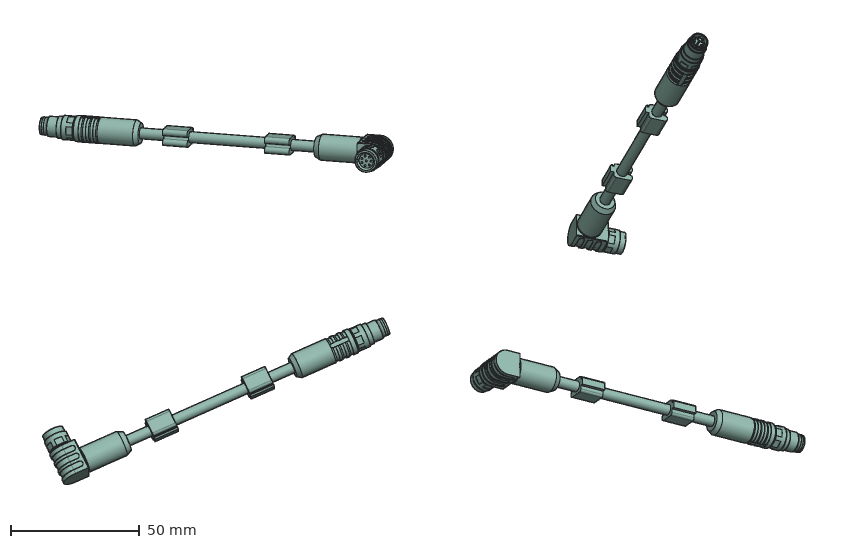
import cadquery as cq
import math


TOTAL_LENGTH = 140.8
OVERALL_WIDTH = 20.8

BODY_DIA = 10.3
BODY_R = BODY_DIA / 2
CONE_END_DIA = 8.0
SLEEVE_DIA = 9.6
SLEEVE_FLAT_COUNT = 6
SLEEVE_FLAT_DEPTH = 0.3
RIM_DIA = 8.7
CONTACT_COUNT = 7
CONTACT_CIRCLE_R = 2.0

CABLE_DIA = 4.4
CLIP_LENGTH = 10.0
CLIP_STARTS = (50.1, 91.4)
CLIP_HEIGHT = 6.6
JAW_R = 1.34
JAW_TIP_Y = -4.4
CLIP_SHOULDER_Y = 3.2
CLIP_SHOULDER_R = 1.0
TAB_ROOT_Y = 3.1
TAB_TIP_Y = 4.6
TAB_BOTTOM_Z = -0.8
TAB_TOP_Z = 2.7
TAB_NOTCH_Y = 3.8
TAB_NOTCH_Z = 2.0
TAB_CHAMFER = 0.7

NOSE_DIA = 6.9
NOSE_COLLAR_DIA = 7.2
NOSE_BARB_COUNT = 3
NOSE_BARB_PITCH = 0.8
NOSE_BORE_DIA = 5.9
NOSE_BORE_DEPTH = 2.1
PIN_DIA = 0.6
PIN_LENGTH = 1.7
FIRST_PIN_ANGLE = math.pi / 2
FRONT_STEP_DIA = 8.0
FRONT_STEP_START = 3.1
RIM_START = 7.0
SLEEVE_START = 9.0
SLEEVE_FLAT_START = 11.1
SLEEVE_FIRST_FLAT_ANGLE = 30
NECK_START = 13.7
BODY_START = 14.1
BODY_CHAMFER = 0.3
STRAIGHT_CONE_START = 38.3
STRAIGHT_CONE_END = 40.1

GRIP_START = 16.2
GRIP_END = 24.0
GRIP_GROOVE_DIA = 9.6
GRIP_GROOVE_FLOOR = 1.1
GRIP_GROOVE_WIDTH = 1.8
GRIP_GROOVE_COUNT = 3
GRIP_STRIP_WIDTH = 1.8

ANGLED_CONE_START = 111.2
ANGLED_CONE_END = 113.5
COLLAR_START = 129.5
BLOCK_START = 130.0
BLOCK_BOTTOM_Y = -7.9
BLOCK_CHAMFER = 0.3
OUTLET_NECK_DIA = 8.0
OUTLET_X = TOTAL_LENGTH - BODY_R
NUT_START = 8.6
NUT_FLAT_END = 11.1
NUT_FIRST_FLAT_ANGLE = 0
NUT_RIM_START = 13.2
NUT_END = OVERALL_WIDTH - BODY_R
SOCKET_MOUTH_DIA = 7.2
SOCKET_FLOOR_DIA = 5.8
SOCKET_DEPTH = 0.8
KEY_WIDTH = 1.1
KEY_OUTER_R = 4.1
KEY_DEPTH = 0.4
CONTACT_HOLE_DIA = 0.7
CONTACT_HOLE_DEPTH = 2.8
FIRST_HOLE_ANGLE = 0
BLOCK_GROOVE_COUNT = 3
BLOCK_GROOVE_PITCH = 3.5
BLOCK_GROOVE_FIRST_Y = 2.3
BLOCK_GROOVE_WIDTH = 2.3
BLOCK_GROOVE_DEPTH = 0.4
BLOCK_GROOVE_START = 131.2


def disc(start, end, dia):
    """Cylinder on the X axis."""
    return cq.Workplane("YZ", origin=(start, 0, 0)).circle(dia / 2).extrude(end - start)


def cone(start, end, start_dia, end_dia):
    """Cone frustum on the X axis."""
    outline = [(start, 0), (start, start_dia / 2), (end, end_dia / 2), (end, 0)]
    return cq.Workplane("XY").polyline(outline).close().revolve(360, (0, 0, 0), (1, 0, 0))


def contact_points(first_angle):
    """Centre contact and the ring around it."""
    points = [(0, 0)]
    for i in range(CONTACT_COUNT):
        angle = first_angle + 2 * math.pi * i / CONTACT_COUNT
        points.append((CONTACT_CIRCLE_R * math.cos(angle), CONTACT_CIRCLE_R * math.sin(angle)))
    return points


def cut_sleeve_flats(plug, start, end, first_angle):
    """Cut a ring of flats into a locking sleeve on the X axis."""
    length = end - start
    flat_distance = SLEEVE_DIA / 2 - SLEEVE_FLAT_DEPTH
    cutter = cq.Workplane("XY").box(length, SLEEVE_DIA, SLEEVE_DIA)
    cutter = cutter.translate((start + length / 2, 0, flat_distance + SLEEVE_DIA / 2))
    for i in range(SLEEVE_FLAT_COUNT):
        angle = first_angle + 360 * i / SLEEVE_FLAT_COUNT
        plug = plug.cut(cutter.rotate((0, 0, 0), (1, 0, 0), angle))
    return plug


def grip_groove(start):
    """Ring cutter with a square front wall, a flat floor and a sloping rear wall."""
    floor_end = start + GRIP_GROOVE_FLOOR
    core = disc(start, floor_end, GRIP_GROOVE_DIA)
    core = core.union(cone(floor_end, start + GRIP_GROOVE_WIDTH, GRIP_GROOVE_DIA, BODY_DIA))
    return disc(start, start + GRIP_GROOVE_WIDTH, BODY_DIA).cut(core)


def grip_strip():
    """Plain flat-topped strip through the body, rounded at the cable end."""
    half = GRIP_STRIP_WIDTH / 2
    outline = (
        cq.Workplane("XY")
        .moveTo(GRIP_START, -half)
        .lineTo(GRIP_END - half, -half)
        .threePointArc((GRIP_END, 0), (GRIP_END - half, half))
        .lineTo(GRIP_START, half)
        .close()
    )
    return outline.extrude(BODY_R, both=True)


def straight_body():
    """Plug body with ring grooves interrupted by flat strips at top and bottom."""
    body = disc(BODY_START, STRAIGHT_CONE_START, BODY_DIA).faces("<X").chamfer(BODY_CHAMFER)
    pitch = (GRIP_END - GRIP_START - GRIP_GROOVE_WIDTH) / (GRIP_GROOVE_COUNT - 1)
    for i in range(GRIP_GROOVE_COUNT):
        body = body.cut(grip_groove(GRIP_START + i * pitch))
    body = body.union(grip_strip())
    return body.union(cone(STRAIGHT_CONE_START, STRAIGHT_CONE_END, BODY_DIA, CONE_END_DIA))


def straight_plug():
    """Male plug with a barbed nose, contact pins, locking sleeve and gripped body."""
    nose = disc(NOSE_BARB_COUNT * NOSE_BARB_PITCH, FRONT_STEP_START, NOSE_COLLAR_DIA)
    for i in range(NOSE_BARB_COUNT):
        start = i * NOSE_BARB_PITCH
        nose = nose.union(cone(start, start + NOSE_BARB_PITCH, NOSE_DIA, NOSE_COLLAR_DIA))
    nose = nose.cut(disc(0, NOSE_BORE_DEPTH, NOSE_BORE_DIA))
    pin_plane = cq.Workplane("YZ", origin=(NOSE_BORE_DEPTH, 0, 0))
    pins = pin_plane.pushPoints(contact_points(FIRST_PIN_ANGLE))
    pins = pins.circle(PIN_DIA / 2).extrude(-PIN_LENGTH)

    sleeve = disc(SLEEVE_START, NECK_START, SLEEVE_DIA)
    sleeve = cut_sleeve_flats(sleeve, SLEEVE_FLAT_START, NECK_START, SLEEVE_FIRST_FLAT_ANGLE)

    plug = nose.union(pins)
    plug = plug.union(disc(FRONT_STEP_START, RIM_START, FRONT_STEP_DIA))
    plug = plug.union(disc(RIM_START, SLEEVE_START, RIM_DIA))
    plug = plug.union(sleeve)
    plug = plug.union(disc(NECK_START, BODY_START, RIM_DIA))
    return plug.union(straight_body())


def clip(start):
    """Snap-on cable clip with two round jaws and a round mouth on -Y, and a tab on +Y."""
    half_height = CLIP_HEIGHT / 2
    jaw_z = half_height - JAW_R
    gap_z = jaw_z - JAW_R
    jaw_y = JAW_TIP_Y + JAW_R
    shoulder_y = CLIP_SHOULDER_Y - CLIP_SHOULDER_R
    shoulder_z = half_height - CLIP_SHOULDER_R
    shoulder_mid_y = shoulder_y + CLIP_SHOULDER_R * math.sqrt(0.5)
    shoulder_mid_z = shoulder_z + CLIP_SHOULDER_R * math.sqrt(0.5)
    profile = (
        cq.Workplane("YZ", origin=(start, 0, 0))
        .moveTo(jaw_y, half_height)
        .lineTo(shoulder_y, half_height)
        .threePointArc((shoulder_mid_y, shoulder_mid_z), (CLIP_SHOULDER_Y, shoulder_z))
        .lineTo(CLIP_SHOULDER_Y, -shoulder_z)
        .threePointArc((shoulder_mid_y, -shoulder_mid_z), (shoulder_y, -half_height))
        .lineTo(jaw_y, -half_height)
        .threePointArc((JAW_TIP_Y, -jaw_z), (jaw_y, -gap_z))
        .threePointArc((jaw_y + gap_z, 0), (jaw_y, gap_z))
        .threePointArc((JAW_TIP_Y, jaw_z), (jaw_y, half_height))
        .close()
    )
    tab_profile = (
        cq.Workplane("YZ", origin=(start, 0, 0))
        .moveTo(TAB_ROOT_Y, TAB_BOTTOM_Z)
        .lineTo(TAB_TIP_Y, TAB_BOTTOM_Z)
        .lineTo(TAB_TIP_Y, TAB_TOP_Z - TAB_CHAMFER)
        .lineTo(TAB_TIP_Y - TAB_CHAMFER, TAB_TOP_Z)
        .lineTo(TAB_NOTCH_Y, TAB_TOP_Z)
        .lineTo(TAB_NOTCH_Y, TAB_NOTCH_Z)
        .lineTo(TAB_ROOT_Y, TAB_NOTCH_Z)
        .close()
    )
    return profile.extrude(CLIP_LENGTH).union(tab_profile.extrude(CLIP_LENGTH))


def block_outline(inset):
    """Plan of the angled block in X-Z: square at the start, half round at the far end."""
    r = BODY_R - inset
    return (
        cq.Workplane("XZ")
        .moveTo(BLOCK_START, -r)
        .lineTo(OUTLET_X, -r)
        .threePointArc((OUTLET_X + r, 0), (OUTLET_X, r))
        .lineTo(BLOCK_START, r)
        .close()
    )


def groove_prism(center_y):
    """Prism over the plan of one block groove, rounded at its closed end."""
    half = BLOCK_GROOVE_WIDTH / 2
    outline = (
        cq.Workplane("XY", origin=(0, center_y, 0))
        .moveTo(TOTAL_LENGTH, half)
        .lineTo(BLOCK_GROOVE_START + half, half)
        .threePointArc((BLOCK_GROOVE_START, 0), (BLOCK_GROOVE_START + half, -half))
        .lineTo(TOTAL_LENGTH, -half)
        .close()
    )
    return outline.extrude(BODY_DIA, both=True)


def angled_block():
    """Block with grip grooves that wrap around its rounded end."""
    length = BODY_R - BLOCK_BOTTOM_Y
    block = block_outline(0).extrude(length).translate((0, BODY_R, 0))
    block = block.faces("<X").edges("|Y").chamfer(BLOCK_CHAMFER)
    block = block.faces("<Y").edges("not |Z").chamfer(BLOCK_CHAMFER)
    core = block_outline(BLOCK_GROOVE_DEPTH).extrude(length).translate((0, BODY_R, 0))
    for i in range(BLOCK_GROOVE_COUNT):
        groove = groove_prism(BLOCK_GROOVE_FIRST_Y - i * BLOCK_GROOVE_PITCH)
        block = block.cut(groove.cut(core))
    return block


def outlet():
    """Female outlet, built along +X and turned so that it points along -Y."""
    sleeve = disc(NUT_START, NUT_RIM_START, SLEEVE_DIA)
    sleeve = cut_sleeve_flats(sleeve, NUT_START, NUT_FLAT_END, NUT_FIRST_FLAT_ANGLE)
    rim = disc(NUT_RIM_START, NUT_END, RIM_DIA)
    socket_floor = NUT_END - SOCKET_DEPTH
    rim = rim.cut(cone(socket_floor, NUT_END, SOCKET_FLOOR_DIA, SOCKET_MOUTH_DIA))
    key = cq.Workplane("XY").box(KEY_DEPTH, KEY_OUTER_R, KEY_WIDTH, centered=(False, False, True))
    rim = rim.cut(key.translate((NUT_END - KEY_DEPTH, -KEY_OUTER_R, 0)))

    plug = disc(-BLOCK_BOTTOM_Y, NUT_START, OUTLET_NECK_DIA).union(sleeve).union(rim)
    hole_plane = cq.Workplane("YZ", origin=(socket_floor, 0, 0))
    holes = hole_plane.pushPoints(contact_points(FIRST_HOLE_ANGLE))
    holes = holes.circle(CONTACT_HOLE_DIA / 2).extrude(-CONTACT_HOLE_DEPTH)
    plug = plug.cut(holes)
    return plug.rotate((0, 0, 0), (0, 0, 1), -90).translate((OUTLET_X, 0, 0))


def angled_plug():
    """Female plug: tapered body, collar, block and side outlet."""
    plug = cone(ANGLED_CONE_START, ANGLED_CONE_END, CONE_END_DIA, BODY_DIA)
    plug = plug.union(disc(ANGLED_CONE_END, COLLAR_START, BODY_DIA))
    plug = plug.union(disc(COLLAR_START, BLOCK_START, SLEEVE_DIA))
    return plug.union(angled_block()).union(outlet())


result = straight_plug().union(disc(STRAIGHT_CONE_END, ANGLED_CONE_START, CABLE_DIA))
for clip_start in CLIP_STARTS:
    result = result.union(clip(clip_start))
result = result.union(angled_plug())